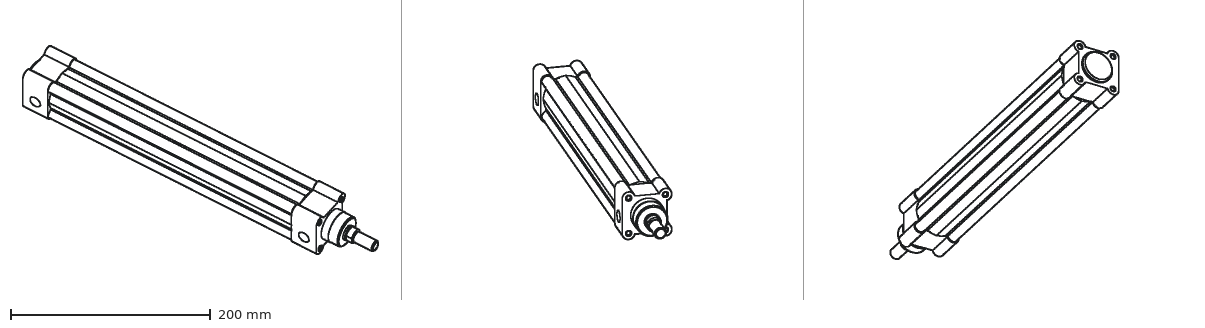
import cadquery as cq
import math


TOTAL_LENGTH = 413.5
BOSS_LENGTH = 3.95
CAP_LENGTH = 30.0
TUBE_LENGTH = 295.0
COLLAR_BASE_LENGTH = 8.3
COLLAR_TIP_LENGTH = 12.0
ROD_STEM_LENGTH = 10.0
REAR_CAP_X = BOSS_LENGTH
TUBE_X = REAR_CAP_X + CAP_LENGTH
FRONT_CAP_X = TUBE_X + TUBE_LENGTH
COLLAR_X = FRONT_CAP_X + CAP_LENGTH
ROD_X = COLLAR_X + COLLAR_BASE_LENGTH + COLLAR_TIP_LENGTH
THREAD_X = ROD_X + ROD_STEM_LENGTH

CAP_WIDTH = 51.5
SCREW_OFFSET = 19.0
CAP_LOBE_RADIUS = CAP_WIDTH / 2 - SCREW_OFFSET
CAP_WAIST = 20.5
SCREW_HOLE_RADIUS = 2.0
SCREW_HOLE_DEPTH = 16.5
SCREW_CHAMFER = 1.05
PORT_RADIUS = 6.0
PORT_DROP = 5.8
PORT_DEPTH = 12.5
BOSS_RADIUS = 17.0
BOSS_CHAMFER = 1.5
COLLAR_TIP_RADIUS = 16.5
COLLAR_CHAMFER = 1.2

TUBE_LOBE_RADIUS = 5.5
TUBE_FLOOR = 20.3
RIB_RADIUS = 22.8
RIB_HALF_WIDTH = math.sqrt(RIB_RADIUS**2 - TUBE_FLOOR**2)
RIDGE_HALF_WIDTH = 4.5
RIDGE_HEIGHT = 23.0

ROD_DIAMETER = 16.0
ROD_SHOULDER_LENGTH = 3.5
ROD_SHOULDER_CHAMFER = 0.5
ROD_SHOULDER_CHAMFER_LENGTH = 1.2
SPANNER_DIAMETER = ROD_DIAMETER - 2 * ROD_SHOULDER_CHAMFER
ACROSS_FLATS = 14.0
SPANNER_LENGTH = ROD_STEM_LENGTH - ROD_SHOULDER_LENGTH
THREAD_DIAMETER = 12.0
THREAD_CHAMFER = 1.2

CORNERS = [(y, z) for y in (-SCREW_OFFSET, SCREW_OFFSET) for z in (-SCREW_OFFSET, SCREW_OFFSET)]


def section(x):
    """Sketch plane across the axis: local x is Y and local y is Z."""
    return cq.Workplane("YZ", origin=(x, 0, 0))


def disc(x, radius, length):
    return section(x).circle(radius).extrude(length)


def cap_block(x):
    """Cap with a lobe round each screw, a plain -Y side and the three other sides set back."""
    lobes = section(x).pushPoints(CORNERS).circle(CAP_LOBE_RADIUS).extrude(CAP_LENGTH)
    waist = section(x).rect(2 * CAP_WAIST, 2 * CAP_WAIST).extrude(CAP_LENGTH)
    port_side = (
        section(x)
        .center(-SCREW_OFFSET - CAP_LOBE_RADIUS / 2, 0)
        .rect(CAP_LOBE_RADIUS, 2 * SCREW_OFFSET)
        .extrude(CAP_LENGTH)
    )
    port = (
        cq.Workplane("XZ", origin=(x + CAP_LENGTH / 2, -CAP_WIDTH / 2, -PORT_DROP))
        .circle(PORT_RADIUS)
        .extrude(-PORT_DEPTH)
    )
    return waist.union(port_side).union(lobes).cut(port)


def screw_holes(face_x, inward):
    """Four chamfered screw holes; inward is +1 or -1, the direction of the holes along X."""
    holes = cq.Workplane("XY")
    for y, z in CORNERS:
        profile = (
            cq.Workplane("XY")
            .moveTo(face_x, 0)
            .lineTo(face_x, SCREW_HOLE_RADIUS + SCREW_CHAMFER)
            .lineTo(face_x + inward * SCREW_CHAMFER, SCREW_HOLE_RADIUS)
            .lineTo(face_x + inward * SCREW_HOLE_DEPTH, SCREW_HOLE_RADIUS)
            .lineTo(face_x + inward * SCREW_HOLE_DEPTH, 0)
            .close()
        )
        hole = profile.revolve(360, (0, 0, 0), (1, 0, 0)).translate((0, y, z))
        holes = holes.add(hole)
    return holes.combine()


def make_rear_cap():
    boss = disc(0, BOSS_RADIUS, BOSS_LENGTH).faces("<X").chamfer(BOSS_CHAMFER)
    return cap_block(REAR_CAP_X).union(boss).cut(screw_holes(REAR_CAP_X, 1))


def make_front_cap():
    base = disc(COLLAR_X, BOSS_RADIUS, COLLAR_BASE_LENGTH)
    tip = disc(COLLAR_X + COLLAR_BASE_LENGTH, COLLAR_TIP_RADIUS, COLLAR_TIP_LENGTH)
    tip = tip.faces(">X").chamfer(COLLAR_CHAMFER)
    return cap_block(FRONT_CAP_X).union(base).union(tip).cut(screw_holes(COLLAR_X, -1))


def make_tube():
    """Profiled tube: a square core, a lobe at each corner and a ridged rib along each side."""
    tube = section(TUBE_X).rect(2 * TUBE_FLOOR, 2 * TUBE_FLOOR).extrude(TUBE_LENGTH)
    for quarter_turn in range(4):
        side = tube_rib().union(tube_lobe())
        tube = tube.union(side.rotate((0, 0, 0), (1, 0, 0), 90 * quarter_turn))
    return tube


def tube_lobe():
    """Round lobe at the +Y +Z corner; two 45 degree flanks run from it down to the tube floor."""
    flank_shift = TUBE_LOBE_RADIUS * math.sqrt(2)
    tangent_shift = TUBE_LOBE_RADIUS / math.sqrt(2)
    near = SCREW_OFFSET - tangent_shift
    far = SCREW_OFFSET + tangent_shift
    foot = TUBE_FLOOR - flank_shift
    return (
        section(TUBE_X)
        .moveTo(foot, foot)
        .lineTo(foot, TUBE_FLOOR)
        .lineTo(near, far)
        .threePointArc((far, far), (far, near))
        .lineTo(TUBE_FLOOR, foot)
        .close()
        .extrude(TUBE_LENGTH)
    )


def tube_rib():
    """Rib on the +Z side: a low ridge on top of a cylindrical surface that runs out at the floor."""
    middle = (RIDGE_HALF_WIDTH + RIB_HALF_WIDTH) / 2
    return (
        section(TUBE_X)
        .moveTo(-RIB_HALF_WIDTH, 0)
        .lineTo(*on_rib(-RIB_HALF_WIDTH))
        .threePointArc(on_rib(-middle), on_rib(-RIDGE_HALF_WIDTH))
        .lineTo(0, RIDGE_HEIGHT)
        .lineTo(*on_rib(RIDGE_HALF_WIDTH))
        .threePointArc(on_rib(middle), on_rib(RIB_HALF_WIDTH))
        .lineTo(RIB_HALF_WIDTH, 0)
        .close()
        .extrude(TUBE_LENGTH)
    )


def on_rib(y):
    """Point on the cylindrical surface of a rib."""
    return (y, math.sqrt(RIB_RADIUS**2 - y**2))


def make_rod():
    """Rod with a shoulder, two spanner flats facing +Y and -Y, and a thinner threaded end."""
    shoulder = disc(ROD_X, ROD_DIAMETER / 2, ROD_SHOULDER_LENGTH)
    shoulder = shoulder.faces(">X").chamfer(ROD_SHOULDER_CHAMFER_LENGTH, ROD_SHOULDER_CHAMFER)
    spanner_x = ROD_X + ROD_SHOULDER_LENGTH
    flats = section(spanner_x).rect(ACROSS_FLATS, SPANNER_DIAMETER).extrude(SPANNER_LENGTH)
    spanner = disc(spanner_x, SPANNER_DIAMETER / 2, SPANNER_LENGTH).intersect(flats)
    thread = disc(THREAD_X, THREAD_DIAMETER / 2, TOTAL_LENGTH - THREAD_X)
    thread = thread.faces("<X or >X").chamfer(THREAD_CHAMFER)
    return shoulder.union(spanner).union(thread)


rear_cap = make_rear_cap()
tube = make_tube()
front_cap = make_front_cap()
rod = make_rod()

result = cq.Compound.makeCompound([rear_cap.val(), tube.val(), front_cap.val(), rod.val()])